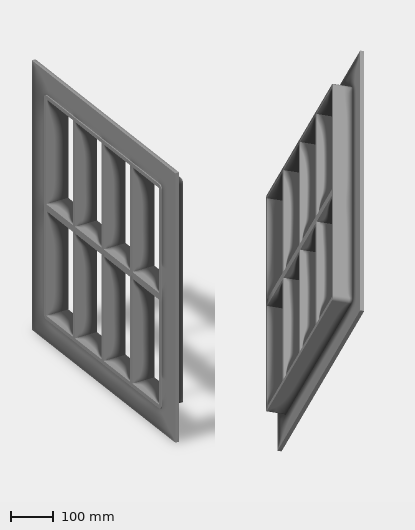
import cadquery as cq

flange_width = 652.0
flange_height = 716.0
flange_thickness = 10.0
flange_border = 60.0

sleeve_depth = 60.0
sleeve_wall = 10.0
sleeve_corner_radius = 10.0
front_projection = 3.0

columns = 4
rows = 2
mullion_width = 10.0
transom_height = 18.0

sleeve_width = flange_width - 2 * flange_border
sleeve_height = flange_height - 2 * flange_border
cell_width = (sleeve_width - 2 * sleeve_wall - (columns - 1) * mullion_width) / columns
cell_height = (sleeve_height - 2 * sleeve_wall - (rows - 1) * transom_height) / rows


def block(width, depth, height, front):
    """Box centred in X and Z, running toward +Y from its front face."""
    return cq.Workplane("XY").box(width, depth, height).translate((0, front + depth / 2, 0))


def make_flange():
    return block(flange_width, flange_thickness, flange_height, front_projection)


def make_sleeve():
    sleeve = block(sleeve_width, sleeve_depth, sleeve_height, 0)
    return sleeve.edges("|Y").fillet(sleeve_corner_radius)


def make_openings():
    """Rectangular openings through the full depth, leaving the bars between them."""
    return (
        cq.Workplane("XZ")
        .rarray(cell_width + mullion_width, cell_height + transom_height, columns, rows)
        .rect(cell_width, cell_height)
        .extrude(-sleeve_depth)
    )


result = make_flange().union(make_sleeve()).cut(make_openings())